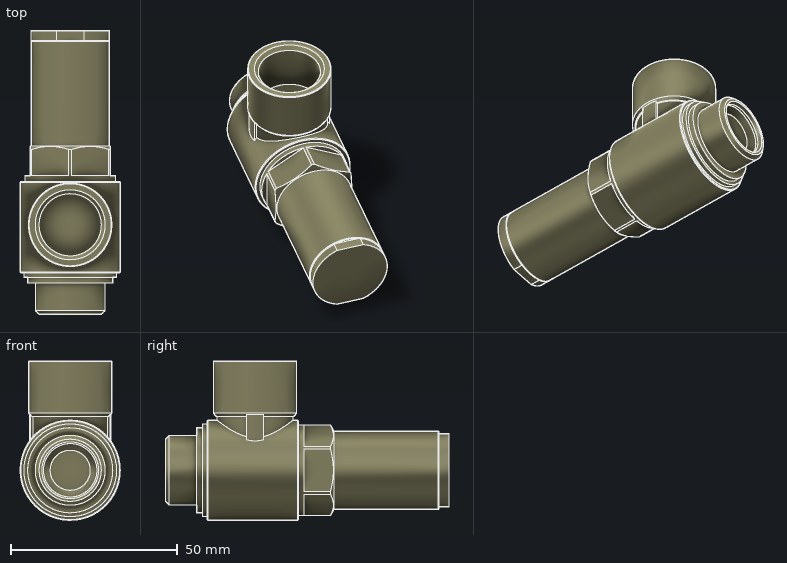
import cadquery as cq
import math


thread_end_y = -26.85
thread_length = 9.35
thread_diameter = 20.95
thread_root_diameter = 18.63
thread_chamfer = (thread_diameter - thread_root_diameter) / 2

outer_collar_diameter = 25.5
outer_collar_length = 1.75
inner_collar_diameter = 27.8
inner_collar_length = 1.35

body_diameter = 30.0
body_end_diameter = 29.6
body_length = 27.4
body_end_chamfer = 0.3

neck_diameter = 27.2
neck_length = 1.75
hex_sides = 6
hex_across_flats = 24.0
hex_turned_diameter = 27.2
hex_length = 8.9
hex_chamfer_angle = 30.0

sleeve_diameter = 23.5
sleeve_edge_chamfer = 0.3
sleeve_edge_drop = 0.15
cap_length = 3.0
cap_across_flats = 22.0
overall_length = 85.0

recess_mouth_diameter = 17.0
recess_step_diameter = 16.0
recess_floor_diameter = 12.0
recess_mouth_depth = 1.1
recess_step_depth = 1.9
recess_depth = 3.6

overall_height = 47.8
port_top_z = overall_height - body_diameter / 2
port_diameter = 25.0
port_length = 16.65
port_top_chamfer = 0.2
port_bottom_diameter = 23.5
port_bottom_chamfer_height = 1.0
port_neck_diameter = 22.8
port_bore_depth = 15.0
port_rib_diameter = 24.3
port_rib_width = 5.0

outer_collar_y = thread_end_y + thread_length
inner_collar_y = outer_collar_y + outer_collar_length
body_front_y = inner_collar_y + inner_collar_length
body_back_y = body_front_y + body_length
hex_front_y = body_back_y + neck_length
hex_back_y = hex_front_y + hex_length
cap_end_y = thread_end_y + overall_length
cap_front_y = cap_end_y - cap_length

port_bottom_z = port_top_z - port_length


def disc_along_y(diameter, y_start, y_end):
    """Cylinder on the main axis between two stations."""
    disc = cq.Workplane("XZ", origin=(0, y_start, 0)).circle(diameter / 2)
    return disc.extrude(y_start - y_end)


def revolve_about_y(profile):
    """Solid of revolution from (radius, y) points."""
    return cq.Workplane("XY").polyline(profile).close().revolve(360, (0, 0, 0), (0, 1, 0))


def revolve_about_z(profile):
    """Solid of revolution from (radius, z) points."""
    return cq.Workplane("XZ").polyline(profile).close().revolve(360, (0, 0, 0), (0, 1, 0))


def make_threaded_end():
    thread = disc_along_y(thread_diameter, thread_end_y, outer_collar_y)
    thread = thread.faces("<Y").chamfer(thread_chamfer)
    outer_collar = disc_along_y(outer_collar_diameter, outer_collar_y, inner_collar_y)
    inner_collar = disc_along_y(inner_collar_diameter, inner_collar_y, body_front_y)
    return thread.union(outer_collar).union(inner_collar)


def make_body():
    return revolve_about_y([
        (0, body_front_y),
        (body_end_diameter / 2, body_front_y),
        (body_diameter / 2, body_front_y + body_end_chamfer),
        (body_diameter / 2, body_back_y - body_end_chamfer),
        (body_end_diameter / 2, body_back_y),
        (0, body_back_y),
    ])


def make_hexagon():
    """Hexagon with flats facing X, its corners turned down and chamfered towards the sleeve."""
    half_side_angle = 360 / hex_sides / 2
    corner_diameter = hex_across_flats / math.cos(math.radians(half_side_angle))
    prism = (
        cq.Workplane("XZ", origin=(0, hex_front_y, 0))
        .transformed(rotate=(0, 0, half_side_angle))
        .polygon(hex_sides, corner_diameter)
        .extrude(-hex_length)
    )
    chamfer_drop = (hex_turned_diameter - sleeve_diameter) / 2
    chamfer_length = chamfer_drop * math.tan(math.radians(hex_chamfer_angle))
    envelope = revolve_about_y([
        (0, hex_front_y),
        (hex_turned_diameter / 2, hex_front_y),
        (hex_turned_diameter / 2, hex_back_y - chamfer_length),
        (sleeve_diameter / 2, hex_back_y),
        (0, hex_back_y),
    ])
    return prism.intersect(envelope)


def make_sleeve_and_cap():
    """Round sleeve with a broken end edge, then a cap with two flats facing +Z and -Z."""
    sleeve = revolve_about_y([
        (0, hex_back_y),
        (sleeve_diameter / 2, hex_back_y),
        (sleeve_diameter / 2, cap_front_y - sleeve_edge_chamfer),
        (sleeve_diameter / 2 - sleeve_edge_drop, cap_front_y),
        (0, cap_front_y),
    ])
    cap = disc_along_y(sleeve_diameter, cap_front_y, cap_end_y)
    flats = cq.Workplane("XY").box(sleeve_diameter, cap_length, cap_across_flats)
    flats = flats.translate((0, cap_front_y + cap_length / 2, 0))
    return sleeve.union(cap.intersect(flats))


def make_port():
    """Branch socket on a narrower neck, with a rib on each X side of the neck."""
    chamfer_top_z = port_bottom_z + port_bottom_chamfer_height
    socket = revolve_about_z([
        (0, 0),
        (port_neck_diameter / 2, 0),
        (port_neck_diameter / 2, port_bottom_z),
        (port_bottom_diameter / 2, port_bottom_z),
        (port_diameter / 2, chamfer_top_z),
        (port_diameter / 2, port_top_z - port_top_chamfer),
        (port_diameter / 2 - port_top_chamfer, port_top_z),
        (0, port_top_z),
    ])
    rib_column = cq.Workplane("XY").circle(port_rib_diameter / 2).extrude(chamfer_top_z)
    rib_slab = cq.Workplane("XY").rect(port_diameter, port_rib_width).extrude(chamfer_top_z)
    return socket.union(rib_column.intersect(rib_slab))


def make_port_bore():
    bore_floor_z = port_top_z - port_bore_depth
    return revolve_about_z([
        (0, bore_floor_z),
        (thread_root_diameter / 2, bore_floor_z),
        (thread_root_diameter / 2, port_top_z - thread_chamfer),
        (thread_diameter / 2, port_top_z),
        (0, port_top_z),
    ])


def make_recess():
    """Tapered mouth, a short straight step, then a cone down to a flat floor."""
    return revolve_about_y([
        (0, thread_end_y),
        (recess_mouth_diameter / 2, thread_end_y),
        (recess_step_diameter / 2, thread_end_y + recess_mouth_depth),
        (recess_step_diameter / 2, thread_end_y + recess_step_depth),
        (recess_floor_diameter / 2, thread_end_y + recess_depth),
        (0, thread_end_y + recess_depth),
    ])


neck = disc_along_y(neck_diameter, body_back_y, hex_front_y)

result = (
    make_body()
    .union(make_threaded_end())
    .union(neck)
    .union(make_hexagon())
    .union(make_sleeve_and_cap())
    .union(make_port())
    .cut(make_port_bore())
    .cut(make_recess())
)